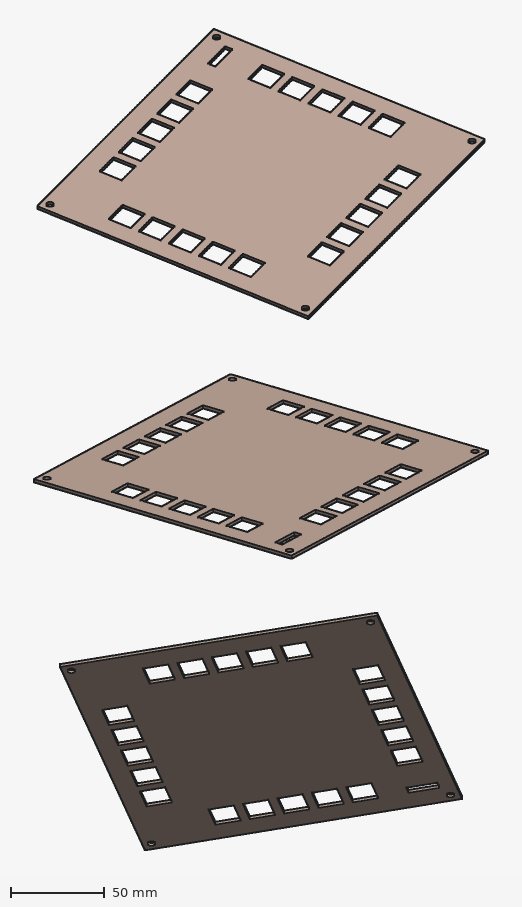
import cadquery as cq

PLATE_X = 171.7
PLATE_Y = 175.7
PLATE_THICKNESS = 2.0

HOLE_DIAMETER = 4.0
HOLE_EDGE_MARGIN = 5.0

CUTOUT_SIDE = 14.0
CUTOUT_PITCH = 19.05
CUTOUTS_PER_LINE = 5
ROW_OFFSET_Y = 69.45
ROW_CENTER_X = -2.77
COLUMN_OFFSET_X = 66.0
COLUMN_MID_X = -0.35
LEFT_COLUMN_CENTER_Y = -0.27
RIGHT_COLUMN_CENTER_Y = -0.47

SLOT_X = 4.6
SLOT_Y = 17.1
SLOT_CENTER = (-70.6, 70.3)


def line_positions(center):
    """Evenly pitched positions of one line of cutouts about its center."""
    middle = (CUTOUTS_PER_LINE - 1) / 2
    return [center + (i - middle) * CUTOUT_PITCH for i in range(CUTOUTS_PER_LINE)]


def cutout_centers():
    """Centers of the cutouts in the two rows and the two columns."""
    centers = []
    for side, column_y in ((-1, LEFT_COLUMN_CENTER_Y), (1, RIGHT_COLUMN_CENTER_Y)):
        row_y = side * ROW_OFFSET_Y
        column_x = COLUMN_MID_X + side * COLUMN_OFFSET_X
        centers += [(x, row_y) for x in line_positions(ROW_CENTER_X)]
        centers += [(column_x, y) for y in line_positions(column_y)]
    return centers


def make_plate():
    return cq.Workplane("XY").box(PLATE_X, PLATE_Y, PLATE_THICKNESS, centered=(True, True, False))


def cut_corner_holes(plate):
    hole_x = PLATE_X / 2 - HOLE_EDGE_MARGIN
    hole_y = PLATE_Y / 2 - HOLE_EDGE_MARGIN
    centers = [(sx * hole_x, sy * hole_y) for sx in (-1, 1) for sy in (-1, 1)]
    holes = cq.Workplane("XY").pushPoints(centers).circle(HOLE_DIAMETER / 2).extrude(PLATE_THICKNESS)
    return plate.cut(holes)


def cut_rectangles(plate, centers, size_x, size_y):
    """Cut equal rectangular openings through the plate."""
    openings = cq.Workplane("XY").pushPoints(centers).rect(size_x, size_y).extrude(PLATE_THICKNESS)
    return plate.cut(openings)


result = make_plate()
result = cut_corner_holes(result)
result = cut_rectangles(result, cutout_centers(), CUTOUT_SIDE, CUTOUT_SIDE)
result = cut_rectangles(result, [SLOT_CENTER], SLOT_X, SLOT_Y)